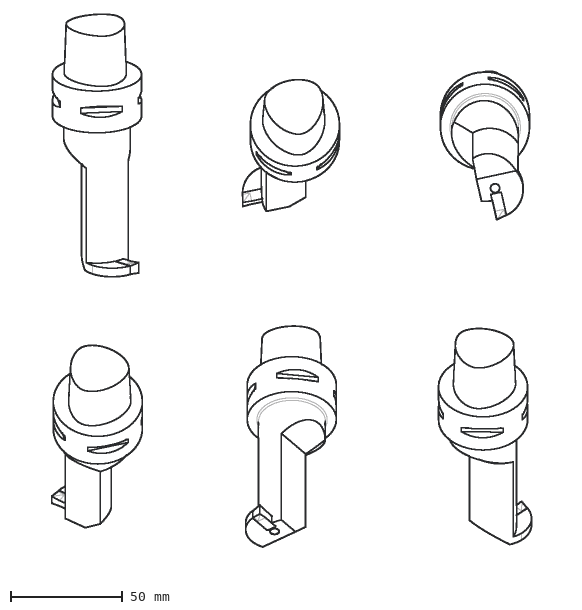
import cadquery as cq
import math


TAPER_HEIGHT = 23.9
TAPER_BASE_RADIUS = 13.96
TAPER_TOP_RADIUS = 13.1
LOBE_HEIGHT = 0.85

COLLAR_DIAMETER = 40.0
COLLAR_RADIUS = COLLAR_DIAMETER / 2
COLLAR_HEIGHT = 20.2
GROOVE_COUNT = 4
GROOVE_Z = -10.0
GROOVE_FLOOR_RADIUS = 17.7
GROOVE_FLOOR_HEIGHT = 2.5
GROOVE_MOUTH_HEIGHT = 5.4
GROOVE_LENGTH = COLLAR_DIAMETER

NECK_DIAMETER = 30.0
NECK_RADIUS = NECK_DIAMETER / 2
NECK_FILLET = 0.8
RELIEF_CENTER_X = 10.3
RELIEF_RADIUS = NECK_RADIUS
RELIEF_BACK_Y = 4.8
RELIEF_TOP_Z = -39.7
SHANK_LEFT_X = RELIEF_CENTER_X - RELIEF_RADIUS
END_CHAMFER = 8.4

OVERALL_HEIGHT = 114
OVERALL_WIDTH = 44.0
TIP_Z = TAPER_HEIGHT - OVERALL_HEIGHT
SHANK_BOTTOM_Z = TIP_Z + 0.6

FOOT_HEIGHT = 4.2
FOOT_TOP_Z = SHANK_BOTTOM_Z + FOOT_HEIGHT
FOOT_TANGENT_X = 9.2
FOOT_NOSE_RADIUS = 13.2
SEAT_Y = -4.8

TIP_X = OVERALL_WIDTH - COLLAR_RADIUS
TIP_TOP_Z = FOOT_TOP_Z + 0.3
INSERT_WAIST_TOP_Z = FOOT_TOP_Z - 0.1
INSERT_INNER_X = 12.0
INSERT_TAPER_LENGTH = 4.1
INSERT_END_RELIEF = 1.0

SCREW_X = 9.6
SCREW_Y = -2.5
SCREW_RADIUS = 2.0
SCREW_BOTTOM_Z = SHANK_BOTTOM_Z - 0.2


def lobed_wire(radius, z):
    """Closed curve whose support distance is radius + LOBE_HEIGHT * cos(3 * angle), one lobe at +Y."""

    def point(turn):
        angle = 2 * math.pi * turn
        support = radius + LOBE_HEIGHT * math.cos(3 * angle)
        slope = -3 * LOBE_HEIGHT * math.sin(3 * angle)
        along = support * math.cos(angle) - slope * math.sin(angle)
        across = support * math.sin(angle) + slope * math.cos(angle)
        return cq.Vector(-across, along, z)

    samples = 48
    points = [point(i / samples) for i in range(samples)]
    return cq.Wire.assembleEdges([cq.Edge.makeSpline(points, periodic=True)])


def make_taper():
    base = lobed_wire(TAPER_BASE_RADIUS, 0)
    top = lobed_wire(TAPER_TOP_RADIUS, TAPER_HEIGHT)
    return cq.Workplane(cq.Solid.makeLoft([base, top], True))


def make_collar():
    collar = cq.Workplane("XY").circle(COLLAR_RADIUS).extrude(-COLLAR_HEIGHT)
    depth = COLLAR_RADIUS - GROOVE_FLOOR_RADIUS
    groove = (
        cq.Workplane("XZ", origin=(GROOVE_FLOOR_RADIUS, 0, GROOVE_Z))
        .moveTo(0, -GROOVE_FLOOR_HEIGHT / 2)
        .lineTo(depth, -GROOVE_MOUTH_HEIGHT / 2)
        .lineTo(depth, GROOVE_MOUTH_HEIGHT / 2)
        .lineTo(0, GROOVE_FLOOR_HEIGHT / 2)
        .close()
        .extrude(GROOVE_LENGTH / 2, both=True)
    )
    pitch = 360 / GROOVE_COUNT
    for i in range(GROOVE_COUNT):
        collar = collar.cut(groove.rotate((0, 0, 0), (0, 0, 1), (i + 0.5) * pitch))
    return collar


def make_relief_envelope():
    """Round shank with a flat back, flaring outward at 45 degrees above RELIEF_TOP_Z."""
    rise = -COLLAR_HEIGHT - RELIEF_TOP_Z
    cylinder = (
        cq.Workplane("XY", origin=(RELIEF_CENTER_X, 0, SHANK_BOTTOM_Z))
        .circle(RELIEF_RADIUS)
        .extrude(RELIEF_TOP_Z - SHANK_BOTTOM_Z)
    )
    cone = cq.Solid.makeCone(
        RELIEF_RADIUS, RELIEF_RADIUS + rise, rise, pnt=cq.Vector(RELIEF_CENTER_X, 0, RELIEF_TOP_Z)
    )
    round_side = cylinder.union(cq.Workplane(cone))
    front_y = -RELIEF_RADIUS - rise
    flat_back = (
        cq.Workplane("YZ")
        .moveTo(front_y, SHANK_BOTTOM_Z)
        .lineTo(RELIEF_BACK_Y, SHANK_BOTTOM_Z)
        .lineTo(RELIEF_BACK_Y, RELIEF_TOP_Z)
        .lineTo(RELIEF_BACK_Y + rise, RELIEF_TOP_Z + rise)
        .lineTo(front_y, RELIEF_TOP_Z + rise)
        .close()
        .extrude(NECK_DIAMETER, both=True)
    )
    return round_side.intersect(flat_back)


def make_shank():
    """Neck and the inner part of the foot, both trimmed to the relieved outline."""
    neck_length = -COLLAR_HEIGHT - SHANK_BOTTOM_Z
    neck = cq.Workplane("XY", origin=(0, 0, SHANK_BOTTOM_Z)).circle(NECK_RADIUS).extrude(neck_length)
    foot_root = (
        cq.Workplane("XY", origin=(0, 0, SHANK_BOTTOM_Z))
        .moveTo(0, SEAT_Y)
        .lineTo(0, -RELIEF_RADIUS)
        .lineTo(FOOT_TANGENT_X, -RELIEF_RADIUS)
        .lineTo(FOOT_TANGENT_X, SEAT_Y)
        .close()
        .extrude(FOOT_HEIGHT)
    )
    return neck.union(foot_root).intersect(make_relief_envelope())


def make_neck_fillet():
    """Ring with a concave quarter-round between the neck and the collar underside."""
    corner_offset = NECK_FILLET * (1 - math.sqrt(0.5))
    return (
        cq.Workplane("XZ")
        .moveTo(0, -COLLAR_HEIGHT)
        .lineTo(NECK_RADIUS + NECK_FILLET, -COLLAR_HEIGHT)
        .threePointArc(
            (NECK_RADIUS + corner_offset, -COLLAR_HEIGHT - corner_offset),
            (NECK_RADIUS, -COLLAR_HEIGHT - NECK_FILLET),
        )
        .lineTo(0, -COLLAR_HEIGHT - NECK_FILLET)
        .close()
        .revolve(360, (0, 0, 0), (0, 1, 0))
    )


def make_foot_nose():
    """Outer part of the foot: an arc tangent to the shank's round side, out to the insert seat."""
    tangent_dx = (FOOT_TANGENT_X - RELIEF_CENTER_X) / RELIEF_RADIUS
    tangent_dy = -math.sqrt(1 - tangent_dx**2)
    nose_x = FOOT_TANGENT_X - FOOT_NOSE_RADIUS * tangent_dx
    nose_y = (RELIEF_RADIUS - FOOT_NOSE_RADIUS) * tangent_dy
    end_x = nose_x + math.sqrt(FOOT_NOSE_RADIUS**2 - (SEAT_Y - nose_y) ** 2)
    diagonal = math.sqrt(0.5)
    return (
        cq.Workplane("XY", origin=(0, 0, SHANK_BOTTOM_Z))
        .moveTo(FOOT_TANGENT_X, SEAT_Y)
        .lineTo(FOOT_TANGENT_X, RELIEF_RADIUS * tangent_dy)
        .threePointArc(
            (nose_x + FOOT_NOSE_RADIUS * diagonal, nose_y - FOOT_NOSE_RADIUS * diagonal),
            (end_x, SEAT_Y),
        )
        .close()
        .extrude(FOOT_HEIGHT)
    )


def make_end_chamfer():
    """Wedge removed from the lower -X corner of the shank."""
    return (
        cq.Workplane("XZ")
        .moveTo(SHANK_LEFT_X, SHANK_BOTTOM_Z)
        .lineTo(SHANK_LEFT_X + END_CHAMFER, SHANK_BOTTOM_Z)
        .lineTo(SHANK_LEFT_X, SHANK_BOTTOM_Z + END_CHAMFER)
        .close()
        .extrude(NECK_DIAMETER, both=True)
    )


def make_insert():
    """Bar with its cutting edge on the y = 0 face, thinning away from the tip along X and Y."""
    lengthwise = (
        cq.Workplane("XZ")
        .moveTo(INSERT_INNER_X, SHANK_BOTTOM_Z)
        .lineTo(TIP_X - INSERT_TAPER_LENGTH, SHANK_BOTTOM_Z)
        .lineTo(TIP_X, TIP_Z)
        .lineTo(TIP_X, TIP_TOP_Z)
        .lineTo(TIP_X - INSERT_TAPER_LENGTH, INSERT_WAIST_TOP_Z)
        .lineTo(INSERT_INNER_X, INSERT_WAIST_TOP_Z)
        .close()
        .extrude(-SEAT_Y)
    )
    crosswise = (
        cq.Workplane("YZ")
        .moveTo(0, TIP_Z)
        .lineTo(0, TIP_TOP_Z)
        .lineTo(-INSERT_TAPER_LENGTH, INSERT_WAIST_TOP_Z)
        .lineTo(SEAT_Y, INSERT_WAIST_TOP_Z)
        .lineTo(SEAT_Y, SHANK_BOTTOM_Z)
        .lineTo(-INSERT_TAPER_LENGTH, SHANK_BOTTOM_Z)
        .close()
        .extrude(TIP_X)
    )
    end_relief = (
        cq.Workplane("XY", origin=(0, 0, TIP_Z))
        .moveTo(TIP_X, 0)
        .lineTo(TIP_X, SEAT_Y)
        .lineTo(TIP_X - INSERT_END_RELIEF, SEAT_Y)
        .close()
        .extrude(TIP_TOP_Z - TIP_Z)
    )
    return lengthwise.intersect(crosswise).cut(end_relief)


def make_screw():
    height = FOOT_TOP_Z - SCREW_BOTTOM_Z
    return cq.Workplane("XY", origin=(SCREW_X, SCREW_Y, SCREW_BOTTOM_Z)).circle(SCREW_RADIUS).extrude(height)


def make_holder(insert, screw):
    holder = make_taper().union(make_collar()).union(make_neck_fillet()).union(make_shank())
    holder = holder.union(make_foot_nose()).cut(make_end_chamfer())
    return holder.cut(insert).cut(screw)


insert = make_insert()
screw = make_screw()
holder = make_holder(insert, screw)

result = cq.Compound.makeCompound([holder.solids().val(), insert.solids().val(), screw.val()])